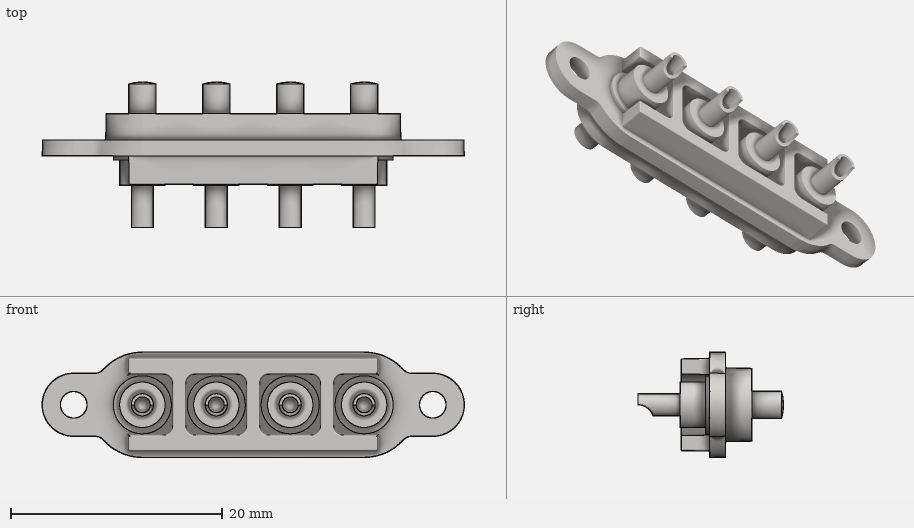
import cadquery as cq
import math


contact_count = 4
contact_pitch = 7.0
contact_positions = [(i - (contact_count - 1) / 2) * contact_pitch for i in range(contact_count)]
outer_contact_x = contact_positions[-1]

overall_length = 40.0
plate_thickness = 1.5
plate_end_radius = 5.0
lug_radius = 3.0
lug_hole_diameter = 2.5
lug_blend_radius = 1.0
lug_x = overall_length / 2 - lug_radius

boss_rear_y = 4.0
boss_radius = 3.5

frame_length = 23.6
frame_width = 8.8
frame_height = 2.7
frame_corner_radius = 0.2
window_size = 5.75
window_corner_radius = 0.9

edge_radius = 0.1

draft_angle = 1.0

collar_base_diameter = 5.5
collar_base_height = 0.4
collar_diameter = 4.3
collar_height = 2.8

pin_rear_y = 7.0
pin_rear_diameter = 2.6
pin_front_length = 6.8
pin_front_diameter = 2.1
pin_dome_height = 0.2
cup_diameter = 1.5
cup_depth = 3.0
cup_point_angle = 118.0
cup_opening_radius = 1.5


def plane_at(y):
    """Sketch plane at the given Y, with local X along +X, local Y along +Z and extrusion toward -Y."""
    return cq.Workplane("XZ", origin=(0, y, 0))


def drafted_slot(front_y, rear_y, length, end_radius):
    """Round-ended block along X that starts at full size at front_y and narrows toward rear_y."""
    return plane_at(front_y).slot2D(length, 2 * end_radius).extrude(front_y - rear_y, taper=draft_angle)


def make_plate():
    """Long rounded plate, narrowing through blended corners to the two end lugs."""
    body = drafted_slot(0, plate_thickness, 2 * (outer_contact_x + plate_end_radius), plate_end_radius)
    lugs = drafted_slot(0, plate_thickness, overall_length, lug_radius)

    corner_x = outer_contact_x + math.sqrt(plate_end_radius**2 - lug_radius**2)
    around_corners = cq.selectors.BoxSelector(
        (-corner_x - edge_radius, plate_thickness / 3, -lug_radius - edge_radius),
        (corner_x + edge_radius, plate_thickness * 2 / 3, lug_radius + edge_radius),
    )
    plate = body.union(lugs).edges(around_corners).fillet(lug_blend_radius)

    holes = plane_at(plate_thickness).pushPoints([(-lug_x, 0), (lug_x, 0)]).circle(lug_hole_diameter / 2)
    return plate.cut(holes.extrude(plate_thickness))


def add_rear_boss(plate):
    """Rounded-end boss on the rear face, with its rear edge rounded."""
    boss_length = 2 * (outer_contact_x + boss_radius)
    boss = drafted_slot(plate_thickness, boss_rear_y, boss_length, boss_radius)
    boss = boss.faces(">Y").edges().fillet(edge_radius)
    return plate.union(boss)


def make_window_cutter(x):
    """Rounded square opening, widening forward, that runs out past the frame's end at the outermost contacts."""
    opening = cq.Sketch().rect(window_size, window_size)
    rounded_opening = cq.Sketch().rect(window_size, window_size).vertices().fillet(window_corner_radius)
    window = plane_at(0).center(x, 0).placeSketch(rounded_opening).extrude(frame_height, taper=-draft_angle)
    if abs(x) == outer_contact_x:
        end_x = x + math.copysign(window_size / 2, x)
        end_opening = plane_at(0).center(end_x, 0).placeSketch(opening)
        window = window.union(end_opening.extrude(frame_height, taper=-draft_angle))
    return window


def make_front_frame():
    """Frame of two rails joined by webs, with rounded outer corners and front edges."""
    outline = cq.Sketch().rect(frame_length, frame_width).vertices().fillet(frame_corner_radius)
    frame = plane_at(0).placeSketch(outline).extrude(frame_height, taper=draft_angle)
    for x in contact_positions:
        frame = frame.cut(make_window_cutter(x))
    return frame.faces("<Y").edges().fillet(edge_radius)


def round_plate_corners(body):
    """Round the inner corners where the boss and the frame meet the plate."""
    margin = edge_radius / 2
    for y, half_length, half_width in [
        (plate_thickness, outer_contact_x + boss_radius, boss_radius),
        (0, frame_length / 2, frame_width / 2),
    ]:
        around_root = cq.selectors.BoxSelector(
            (-half_length - margin, y - margin, -half_width - margin),
            (half_length + margin, y + margin, half_width + margin),
            boundingbox=True,
        )
        body = body.edges(around_root).fillet(edge_radius)
    return body


def add_collars(body):
    """Two-step round collar standing on the plate at each contact."""
    for x in contact_positions:
        base = plane_at(0).center(x, 0).circle(collar_base_diameter / 2).extrude(collar_base_height)
        collar = plane_at(0).center(x, 0).circle(collar_diameter / 2).extrude(collar_height)
        body = body.union(base).union(collar)
    return body


def make_pin_blank(x):
    """Pin before its solder cup is cut; it also gives the shape of the bore it sits in."""
    dome_edge_y = pin_rear_y - pin_dome_height
    rear_radius = pin_rear_diameter / 2
    dome_radius = (rear_radius**2 + pin_dome_height**2) / (2 * pin_dome_height)
    rear = (
        cq.Workplane("XY")
        .lineTo(rear_radius, 0)
        .lineTo(rear_radius, dome_edge_y)
        .radiusArc((0, pin_rear_y), -dome_radius)
        .close()
        .revolve(360, (0, 0), (0, 1))
        .translate((x, 0, 0))
    )
    front = plane_at(0).center(x, 0).circle(pin_front_diameter / 2).extrude(pin_front_length)
    return rear.union(front)


def make_pin(x):
    """Contact pin with a drilled solder cup whose lower half is cut open at the front."""
    cup_radius = cup_diameter / 2
    cup_floor_y = cup_depth - pin_front_length
    cup_point_y = cup_floor_y + cup_radius / math.tan(math.radians(cup_point_angle / 2))
    cup = (
        cq.Workplane("XY")
        .polyline([(0, -pin_front_length), (cup_radius, -pin_front_length), (cup_radius, cup_floor_y),
                   (0, cup_point_y)])
        .close()
        .revolve(360, (0, 0), (0, 1))
        .translate((x, 0, 0))
    )

    opening = (
        cq.Workplane("YZ", origin=(x, 0, 0))
        .center(-pin_front_length, -cup_opening_radius)
        .circle(cup_opening_radius)
        .extrude(pin_front_diameter, both=True)
    )
    return make_pin_blank(x).cut(cup).cut(opening)


def make_housing():
    """Insulating housing: plate, boss, frame and collars, bored through for the pins."""
    housing = add_rear_boss(make_plate())
    housing = housing.union(make_front_frame())
    housing = round_plate_corners(housing)
    housing = add_collars(housing)
    for x in contact_positions:
        housing = housing.cut(make_pin_blank(x))
    return housing


housing = make_housing()
pins = [make_pin(x) for x in contact_positions]

result = cq.Compound.makeCompound([housing.val(), *[pin.val() for pin in pins]])